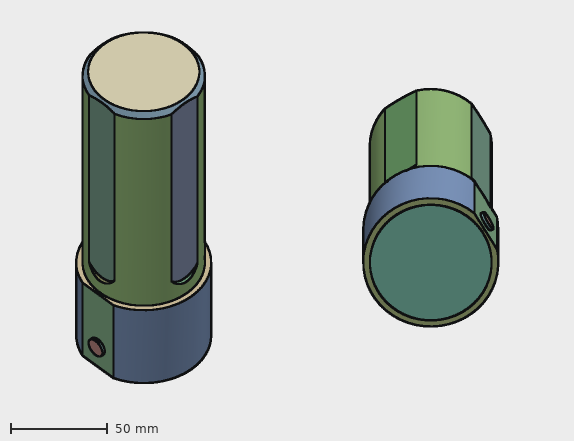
import cadquery as cq
import math

total_height = 194.0
overall_depth = 69.8

collar_diameter = 70.0
collar_top = 54.1
collar_flat_width = 22.9
lip_diameter = 63.0
lip_height = 0.5

body_diameter = 63.5
top_chamfer = 3.0
flat_count = 4
flat_distance = 30.3
flat_bottom = 64.2
flat_end_radius = 12.0
overcut = 2.0

pin_diameter = 10.3
pin_height = 15.7

collar_radius = collar_diameter / 2
collar_flat_distance = math.sqrt(collar_radius**2 - (collar_flat_width / 2) ** 2)
pin_reach = overall_depth - collar_radius


def cylinder(diameter, bottom, top):
    return cq.Workplane("XY").workplane(offset=bottom).circle(diameter / 2).extrude(top - bottom)


def make_collar():
    """Round collar trimmed by one flat on its -Y side."""
    keep = cq.Workplane("XY").box(
        collar_diameter,
        collar_radius + collar_flat_distance,
        collar_top,
        centered=(True, False, False),
    ).translate((0, -collar_flat_distance, 0))
    return cylinder(collar_diameter, lip_height, collar_top).intersect(keep)


def make_flat_cutter():
    """Cutter for the -Y flat: a slab above a round end whose wall flares out at 45 degrees."""
    clearance = body_diameter / 2 - flat_distance + overcut
    end_center = flat_bottom + flat_end_radius
    slab = cq.Workplane("XY").box(
        body_diameter,
        clearance,
        total_height - end_center + overcut,
        centered=(True, False, False),
    ).translate((0, -flat_distance - clearance, end_center))
    round_end = cq.Solid.makeCone(
        flat_end_radius,
        flat_end_radius + clearance,
        clearance,
        cq.Vector(0, -flat_distance, end_center),
        cq.Vector(0, -1, 0),
    )
    return slab.union(cq.Workplane(round_end))


def make_body():
    """Chamfered round bar with evenly spaced flats."""
    body = cylinder(body_diameter, lip_height, total_height).faces(">Z").chamfer(top_chamfer)
    cutter = make_flat_cutter()
    for index in range(flat_count):
        angle = index * 360 / flat_count
        body = body.cut(cutter.rotate((0, 0, 0), (0, 0, 1), angle))
    return body


def make_pin():
    """Short pin running from the axis out through the collar flat."""
    return (
        cq.Workplane("XZ")
        .center(0, pin_height)
        .circle(pin_diameter / 2)
        .extrude(pin_reach)
    )


lip = cylinder(lip_diameter, 0, collar_top)
result = lip.union(make_collar()).union(make_body()).union(make_pin())